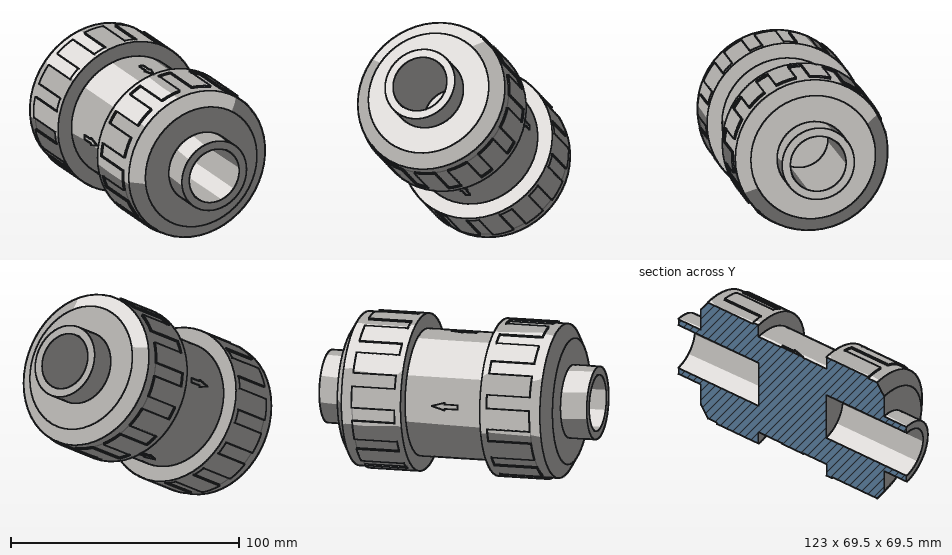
import cadquery as cq

length = 123.0
nut_radius = 69.5 / 2

body_radius = 28.0
spigot_radius = 16.1
bore_radius = 12.4

center_x = length / 2
nut_outer_offset = 49.5
nut_length = 31.2
chamfer_length = 3.8
chamfer_radius = 27.8
rib_start = 8.6
rim_width = 3.0
groove_depth = 0.7
groove_count = 14
groove_angle = 10.0
groove_first_angle = 80.0

arrow_half_length = 5.9
arrow_start_x = center_x - arrow_half_length
arrow_head_x = center_x
arrow_tip_x = center_x + arrow_half_length
arrow_shaft_width = 2.0
arrow_head_width = 3.5
arrow_height = 0.4
arrow_count = 4

collar_radius = nut_radius - groove_depth
nut_outer_x = center_x - nut_outer_offset
bore_depth = nut_outer_x + nut_length
body_half_length = nut_outer_offset - nut_length + rim_width


def cylinder(start_x, end_x, radius):
    """Solid cylinder on the X axis."""
    return cq.Workplane("YZ", origin=(start_x, 0, 0)).circle(radius).extrude(end_x - start_x)


def about_x(shape, angle):
    """Turn a shape about the X axis."""
    return shape.rotate((0, 0, 0), (1, 0, 0), angle)


def grip_groove():
    """One shallow groove between two grip ribs, starting at the +Y direction."""
    groove_length = nut_length - rim_width - rib_start
    return (
        cq.Workplane("XY")
        .moveTo(rib_start, collar_radius)
        .rect(groove_length, 2 * groove_depth, centered=False)
        .revolve(groove_angle, (0, 0, 0), (1, 0, 0))
    )


def union_nut():
    """Solid nut with its outer end at x = 0 and its rim facing +X."""
    nut = (
        cq.Workplane("XY")
        .moveTo(0, 0)
        .lineTo(0, chamfer_radius)
        .lineTo(chamfer_length, collar_radius)
        .lineTo(rib_start, collar_radius)
        .lineTo(rib_start, nut_radius)
        .lineTo(nut_length, nut_radius)
        .lineTo(nut_length, 0)
        .close()
        .revolve(360, (0, 0, 0), (1, 0, 0))
    )
    groove = grip_groove()
    for i in range(groove_count):
        nut = nut.cut(about_x(groove, groove_first_angle + i * 360 / groove_count))
    return nut


def flow_arrow():
    """Raised arrow on the +Z side of the body, pointing along +X."""
    half_shaft = arrow_shaft_width / 2
    half_head = arrow_head_width / 2
    prism = (
        cq.Workplane("XY")
        .polyline([
            (arrow_start_x, -half_shaft),
            (arrow_head_x, -half_shaft),
            (arrow_head_x, -half_head),
            (arrow_tip_x, 0),
            (arrow_head_x, half_head),
            (arrow_head_x, half_shaft),
            (arrow_start_x, half_shaft),
        ])
        .close()
        .extrude(nut_radius)
    )
    return prism.intersect(cylinder(arrow_start_x, arrow_tip_x, body_radius + arrow_height))


left_nut = union_nut().translate((nut_outer_x, 0, 0))
right_nut = left_nut.rotate((center_x, 0, 0), (center_x, 0, 1), 180)

body = cylinder(center_x - body_half_length, center_x + body_half_length, body_radius)
spigots = cylinder(0, length, spigot_radius)
result = body.union(spigots).union(left_nut).union(right_nut)

arrow = flow_arrow()
for i in range(arrow_count):
    result = result.union(about_x(arrow, i * 360 / arrow_count))

result = result.cut(cylinder(0, bore_depth, bore_radius))
result = result.cut(cylinder(length - bore_depth, length, bore_radius))